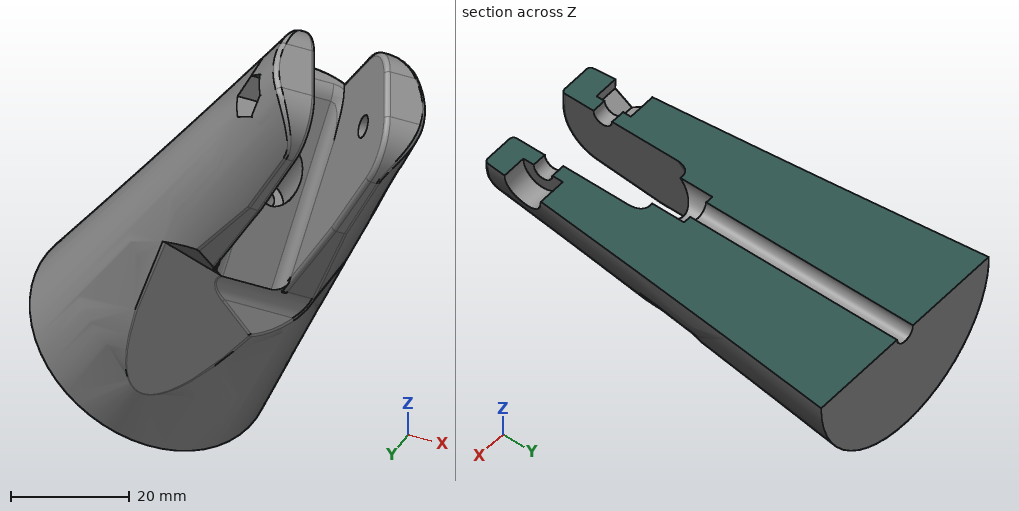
import cadquery as cq
import math

LENGTH = 80.0
BASE_RADIUS = 22.5
MID_RADIUS = 18.05
TIP_RADIUS = 14.1
TOLERANCE = 0.001
MARGIN = 1.0
OVERSIZE = 2 * BASE_RADIUS

FLOOR_Z = -13.4
RAMP_TOP = 36.5
RAMP_FOOT_FILLET = 6.0
TAPER_START = 58.5
TAPER_ANGLE = math.atan(0.1)

SLOT_WIDTH = 13.0
SLOT_END = 63.4
THROAT_TOP = 11.5
THROAT_EXIT = SLOT_END - (THROAT_TOP - FLOOR_Z)
NOSE_FILLET = 4.0
NOSE_RADIUS = 15.7
NOSE_CHAMFER = 0.5
SLOT_SIDE_FILLET = 2.0

TIP_FLAT_TOP = 5.8
UPPER_TIP_FILLET = 7.3
LOWER_TIP_FILLET = 8.6
TIP_FLAT_BOTTOM = (
    FLOOR_Z
    + (LENGTH - LOWER_TIP_FILLET - TAPER_START) * math.tan(TAPER_ANGLE)
    + LOWER_TIP_FILLET / math.cos(TAPER_ANGLE)
)
PRONG_ROOT_TOP = 14.0
EDGE_FILLET = 0.8

PIVOT_DISTANCE = 71.0
PIVOT_DIAMETER = 4.0
NUT_ACROSS_FLATS = 7.4
HEAD_DIAMETER = 8.5
BOLT_SEAT = 9.5

AXIAL_DIAMETER = 4.2
AXIAL_HEAD_DIAMETER = 7.5
AXIAL_SEAT = 45.0

SCOOP_CENTRE_Z = -25.4
SCOOP_CROSS_SLOPE = -0.36
SCOOP_LENGTH_SLOPE = -0.265
SCOOP_RIDGE = 38.6
SCOOP_RIDGE_OUTER_X = -15.5
SCOOP_RIDGE_INNER_X = -6.7
SCOOP_EDGE_MIDDLE = (-7.6, -21.9, -16.8)
SCOOP_TIP_POINT = (-11.8, -43.5, -13.2)


def side_plate(outline, width):
    """Extrude a closed (Y, Z) workplane outline symmetrically about X = 0."""
    return outline.close().extrude(width / 2, both=True)


def side_sketch(y, z):
    return cq.Workplane("YZ").moveTo(y, z)


def half_space(on_plane, second, third):
    """Block filling the lower side of the plane through three points."""
    origin = cq.Vector(*on_plane)
    along = cq.Vector(*second) - origin
    normal = along.cross(cq.Vector(*third) - origin)
    if normal.z > 0:
        normal = -normal
    plane = cq.Plane(origin=origin, xDir=along, normal=normal)
    return cq.Workplane(plane).rect(4 * LENGTH, 4 * LENGTH).extrude(OVERSIZE)


def tapered_body():
    profile = (
        cq.Workplane("XY")
        .lineTo(BASE_RADIUS, 0)
        .threePointArc((MID_RADIUS, -LENGTH / 2), (TIP_RADIUS, -LENGTH))
        .lineTo(0, -LENGTH)
        .close()
    )
    return profile.revolve(360, (0, 0, 0), (0, 1, 0))


def underside_cutter():
    ramp_run = OVERSIZE + FLOOR_Z
    outline = (
        side_sketch(-LENGTH - MARGIN, FLOOR_Z)
        .lineTo(-RAMP_TOP, FLOOR_Z)
        .lineTo(-RAMP_TOP + ramp_run, FLOOR_Z - ramp_run)
        .lineTo(-LENGTH - MARGIN, FLOOR_Z - ramp_run)
    )
    foot = cq.selectors.NearestToPointSelector((0, -RAMP_TOP, FLOOR_Z))
    return side_plate(outline, 2 * OVERSIZE).edges(foot).fillet(RAMP_FOOT_FILLET)


def tip_arc(fillet, flat_edge, direction, taper):
    """Start, middle and end of a tip corner arc, from the tip face to a line sloping by taper.

    The direction is +1 for the top corner and -1 for the bottom corner.
    """
    points = []
    end_angle = math.pi / 2 - taper
    for angle in (0, end_angle / 2, end_angle):
        y = -LENGTH + fillet * (1 - math.cos(angle))
        z = flat_edge + direction * fillet * math.sin(angle)
        points.append((y, z))
    return points


def upper_tip_cutter():
    start, middle, end = tip_arc(UPPER_TIP_FILLET, TIP_FLAT_TOP, 1, 0)
    outline = (
        side_sketch(*start)
        .threePointArc(middle, end)
        .lineTo(end[0], OVERSIZE)
        .lineTo(-LENGTH - MARGIN, OVERSIZE)
        .lineTo(-LENGTH - MARGIN, start[1])
    )
    return side_plate(outline, 2 * OVERSIZE)


def lower_tip_cutter():
    start, middle, end = tip_arc(LOWER_TIP_FILLET, TIP_FLAT_BOTTOM, -1, TAPER_ANGLE)
    outline = (
        side_sketch(*start)
        .threePointArc(middle, end)
        .lineTo(-TAPER_START, FLOOR_Z)
        .lineTo(-TAPER_START, -OVERSIZE)
        .lineTo(-LENGTH - MARGIN, -OVERSIZE)
        .lineTo(-LENGTH - MARGIN, start[1])
    )
    return side_plate(outline, 2 * OVERSIZE)


def slot_cutter():
    drop = OVERSIZE + THROAT_TOP
    outline = (
        side_sketch(-SLOT_END, OVERSIZE)
        .lineTo(-SLOT_END, THROAT_TOP)
        .lineTo(-SLOT_END + drop, -OVERSIZE)
        .lineTo(-2 * LENGTH, -OVERSIZE)
        .lineTo(-2 * LENGTH, OVERSIZE)
    )
    cutter = side_plate(outline, SLOT_WIDTH)
    nearest = cq.selectors.NearestToPointSelector
    throat_middle = (-SLOT_END + drop / 2, THROAT_TOP - drop / 2)
    for side in (-1, 1):
        throat_side = nearest((side * SLOT_WIDTH / 2, *throat_middle))
        cutter = cutter.edges(throat_side).fillet(SLOT_SIDE_FILLET)
    return cutter.edges(nearest((0, -SLOT_END, THROAT_TOP))).fillet(NOSE_FILLET)


def scoop_point(x, y):
    z = SCOOP_CENTRE_Z + SCOOP_CROSS_SLOPE * x + SCOOP_LENGTH_SLOPE * y
    return (x, y, z)


def scoop_cutter():
    outer = scoop_point(SCOOP_RIDGE_OUTER_X, -SCOOP_RIDGE)
    inner = scoop_point(SCOOP_RIDGE_INNER_X, -SCOOP_RIDGE)
    long_face = half_space(scoop_point(0, 0), inner, outer)
    end_face = half_space(SCOOP_TIP_POINT, inner, outer)
    return long_face.intersect(end_face)


def round_scoop_edge(body):
    """Round the edge where the long scoop face runs out into the tapered outside."""
    edge = cq.selectors.NearestToPointSelector(SCOOP_EDGE_MIDDLE)
    return body.edges(edge).fillet(EDGE_FILLET)


def cross_cylinder(diameter, start, end):
    return (
        cq.Workplane("YZ", origin=(start, -PIVOT_DISTANCE, 0))
        .circle(diameter / 2)
        .extrude(end - start)
    )


def pivot_cutter():
    across_corners = NUT_ACROSS_FLATS / math.cos(math.pi / 6)
    bore = cross_cylinder(PIVOT_DIAMETER, -OVERSIZE, OVERSIZE)
    head = cross_cylinder(HEAD_DIAMETER, BOLT_SEAT, OVERSIZE)
    nut = (
        cq.Workplane("YZ", origin=(-BOLT_SEAT, -PIVOT_DISTANCE, 0))
        .transformed(rotate=(0, 0, 90))
        .polygon(6, across_corners)
        .extrude(-OVERSIZE)
    )
    return bore.union(head).union(nut)


def axial_cutter():
    bore = cq.Workplane("XZ").circle(AXIAL_DIAMETER / 2).extrude(LENGTH)
    head = (
        cq.Workplane("XZ", origin=(0, -AXIAL_SEAT, 0))
        .circle(AXIAL_HEAD_DIAMETER / 2)
        .extrude(LENGTH - AXIAL_SEAT)
    )
    return bore.union(head)


def is_root_edge(edge):
    """True for the two prong edges that join the rest of the body."""
    ends = (edge.startPoint(), edge.endPoint())
    return any(math.hypot(p.y + SLOT_END, p.z - THROAT_TOP) < TOLERANCE for p in ends)


def slot_edge_cutter(side):
    """Rounds the edges of one slot wall where it meets the top, tip face and underside."""
    wall_x = side * SLOT_WIDTH / 2
    upper_start, upper_middle, upper_end = tip_arc(UPPER_TIP_FILLET, TIP_FLAT_TOP, 1, 0)
    lower_arc = tip_arc(LOWER_TIP_FILLET, TIP_FLAT_BOTTOM, -1, TAPER_ANGLE)
    lower_start, lower_middle, lower_end = lower_arc
    prong = (
        cq.Workplane("YZ", origin=(wall_x, 0, 0))
        .moveTo(-SLOT_END, PRONG_ROOT_TOP)
        .lineTo(*upper_end)
        .threePointArc(upper_middle, upper_start)
        .lineTo(*lower_start)
        .threePointArc(lower_middle, lower_end)
        .lineTo(-TAPER_START, FLOOR_Z)
        .lineTo(-THROAT_EXIT, FLOOR_Z)
        .lineTo(-SLOT_END, THROAT_TOP)
        .close()
        .extrude(side * 2 * EDGE_FILLET)
    )
    wall_edges = prong.faces("<X" if side > 0 else ">X").edges()
    rounded_edges = wall_edges.filter(lambda edge: not is_root_edge(edge))
    prong = rounded_edges.fillet(EDGE_FILLET)
    slab = (
        cq.Workplane("YZ", origin=(wall_x, 0, 0))
        .moveTo(-SLOT_END, OVERSIZE)
        .lineTo(-SLOT_END, THROAT_TOP)
        .lineTo(-THROAT_EXIT, FLOOR_Z)
        .lineTo(-THROAT_EXIT, -OVERSIZE)
        .lineTo(-LENGTH - MARGIN, -OVERSIZE)
        .lineTo(-LENGTH - MARGIN, OVERSIZE)
        .close()
        .extrude(side * EDGE_FILLET)
    )
    return slab.cut(prong)


def nose_chamfer_cutter():
    """Chamfers the arc where the upper slot wall meets the tapered outside."""
    band_width = SLOT_WIDTH + 2 * EDGE_FILLET
    ring = (
        cq.Workplane("XY")
        .moveTo(NOSE_RADIUS - NOSE_CHAMFER, -SLOT_END)
        .lineTo(NOSE_RADIUS + NOSE_CHAMFER, -SLOT_END + 2 * NOSE_CHAMFER)
        .lineTo(NOSE_RADIUS + NOSE_CHAMFER, -SLOT_END)
        .close()
        .revolve(360, (0, 0, 0), (0, 1, 0))
    )
    band = cq.Workplane("XY").box(band_width, 2 * LENGTH, OVERSIZE, centered=(True, True, False))
    return ring.intersect(band)


def is_outer_tip_edge(edge):
    """True for the edges of the tapered outside around the tip face."""
    centre = edge.Center()
    return centre.y < UPPER_TIP_FILLET - LENGTH and abs(centre.x) > SLOT_WIDTH / 2


body = tapered_body()
body = body.cut(underside_cutter())
body = body.cut(upper_tip_cutter())
body = body.cut(lower_tip_cutter())
body = body.edges().filter(is_outer_tip_edge).fillet(EDGE_FILLET)
body = body.cut(slot_cutter())
for side in (-1, 1):
    body = body.cut(slot_edge_cutter(side))
body = body.cut(nose_chamfer_cutter())
body = body.cut(scoop_cutter())
body = round_scoop_edge(body)
body = body.cut(pivot_cutter())
result = body.cut(axial_cutter())